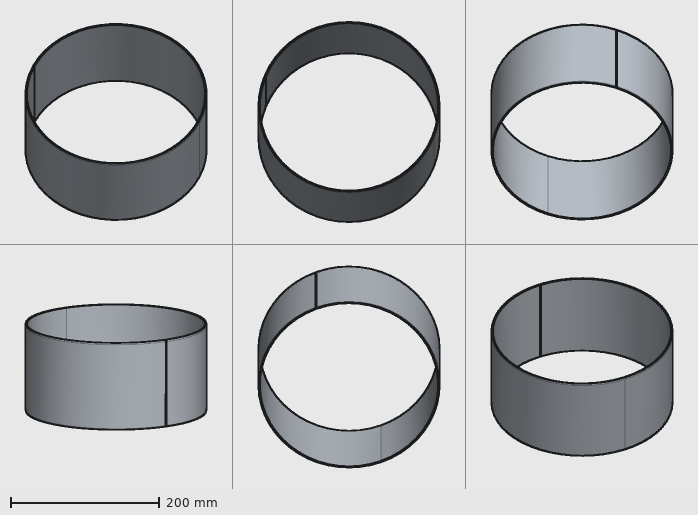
import cadquery as cq

outer_diameter = 245.0
height = 120.0
wall = 2.5
bevel_height = 2.0
bevel_depth = 0.61
inner_chamfer = 0.5
slit_width = 2.0

outer_radius = outer_diameter / 2
inner_radius = outer_radius - wall
outer_rim_radius = outer_radius - bevel_depth
inner_rim_radius = inner_radius + inner_chamfer
half_height = height / 2
bevel_start = half_height - bevel_height
chamfer_start = half_height - inner_chamfer

wall_section = [
    (inner_radius, -chamfer_start),
    (inner_rim_radius, -half_height),
    (outer_rim_radius, -half_height),
    (outer_radius, -bevel_start),
    (outer_radius, bevel_start),
    (outer_rim_radius, half_height),
    (inner_rim_radius, half_height),
    (inner_radius, chamfer_start),
]
band = cq.Workplane("XZ").polyline(wall_section).close().revolve(360, (0, 0), (0, 1))

slit = (
    cq.Workplane("XY")
    .box(outer_radius, slit_width, height, centered=(True, False, True))
    .translate((-outer_radius, 0, 0))
)

result = band.cut(slit)